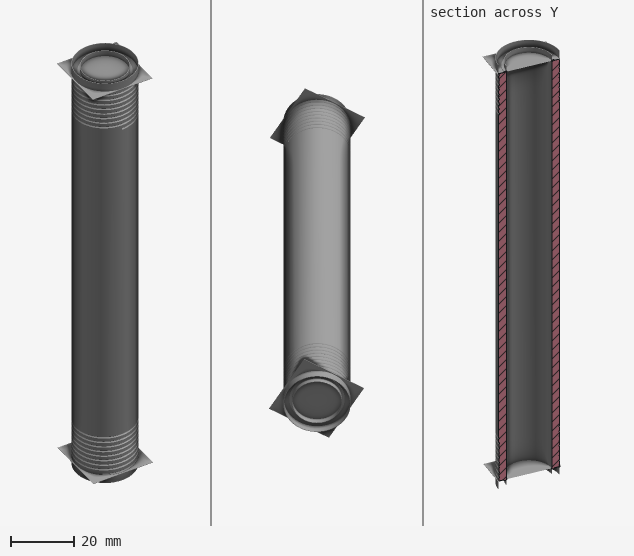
import cadquery as cq

length = 158.5
outer_radius = 10.6
bore_radius = 7.8
inner_rim_drop = 1.0
step_radius = 8.7
step_height = 0.3
skin = 0.2

plate_side = 21.9
plate_depth = 3.0
plate_shift = 0.2

thread_pitch = 1.8
thread_end = 19.3
groove_depth = 0.3
groove_half_width = 0.3
groove_overshoot = 0.2

plate_top = length - plate_depth
plate_bottom = plate_top - skin
groove_top = plate_bottom - groove_half_width
groove_bottom = length - thread_end + groove_half_width


def ring(outer, inner, bottom, height):
    """Upright ring starting at the given height."""
    return cq.Workplane("XY").workplane(offset=bottom).circle(outer).circle(inner).extrude(height)


def turned_over(body):
    """The same body at the other end: half a turn about the Y direction through mid-length."""
    middle = length / 2
    return body.rotate((0, 0, middle), (0, 1, middle), 180)


def end_plate():
    """Square plate that closes the bore and shows its corners outside the tube."""
    return (
        cq.Workplane("XY")
        .workplane(offset=plate_bottom)
        .center(-plate_shift, 0)
        .rect(plate_side, plate_side)
        .extrude(skin)
    )


def end_recess():
    """Ring-shaped recess that leaves a thin outer rim, a lower inner rim and a step at its foot."""
    channel_radius = outer_radius - skin
    step_top = plate_top + step_height
    channel = ring(channel_radius, step_radius, plate_top, plate_depth)
    above_step = ring(channel_radius, bore_radius + skin, step_top, length - step_top)
    above_inner_rim = ring(channel_radius, bore_radius, length - inner_rim_drop, inner_rim_drop)
    return channel.union(above_step).union(above_inner_rim)


def thread_groove():
    """Helical V groove, widened in step with its overshoot so the flanks stay straight."""
    helix = cq.Wire.makeHelix(
        thread_pitch, groove_top - groove_bottom, outer_radius, center=cq.Vector(0, 0, groove_bottom)
    )
    mouth_half_width = groove_half_width * (groove_depth + groove_overshoot) / groove_depth
    mouth_radius = outer_radius + groove_overshoot
    return (
        cq.Workplane("XZ")
        .moveTo(outer_radius - groove_depth, groove_bottom)
        .lineTo(mouth_radius, groove_bottom - mouth_half_width)
        .lineTo(mouth_radius, groove_bottom + mouth_half_width)
        .close()
        .sweep(cq.Workplane(helix), isFrenet=True)
    )


tube = ring(outer_radius, bore_radius, 0, length)
for cutter in (thread_groove(), end_recess()):
    tube = tube.cut(cutter).cut(turned_over(cutter))

plate = end_plate()
result = tube.union(plate).union(turned_over(plate))